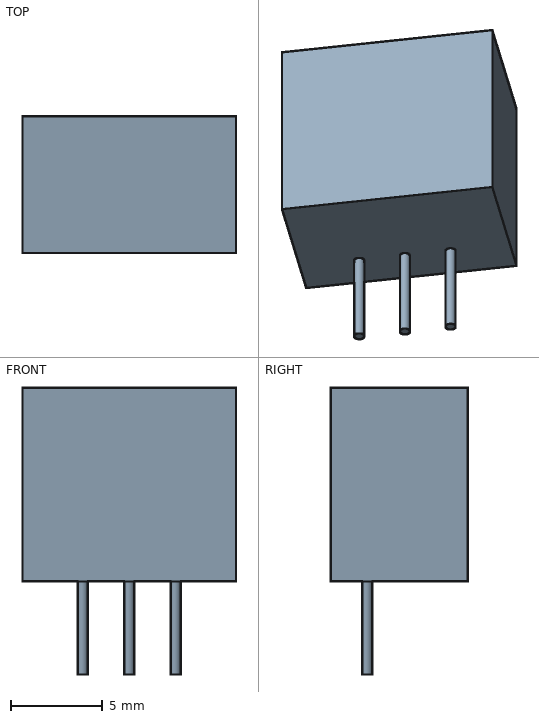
import cadquery as cq

housing_length = 11.7
housing_width = 7.5
overall_height = 15.7

pin_diameter = 0.56
pin_length = 5.1
pin_pitch = 2.54
pin_count = 3
pin_front_offset = 2.0

housing_height = overall_height - pin_length
pin_row_y = pin_front_offset - housing_width / 2


def make_housing():
    """Plain rectangular block standing on Z = 0."""
    return cq.Workplane("XY").box(
        housing_length, housing_width, housing_height, centered=(True, True, False)
    )


def make_pin(x):
    """Straight round pin from the housing underside down to its free end."""
    return (
        cq.Workplane("XY")
        .center(x, pin_row_y)
        .circle(pin_diameter / 2)
        .extrude(-pin_length)
    )


housing = make_housing()

pins = []
for index in range(pin_count):
    pin_x = (index - (pin_count - 1) / 2) * pin_pitch
    pins.append(make_pin(pin_x))

result = cq.Compound.makeCompound([housing.val(), *[pin.val() for pin in pins]])